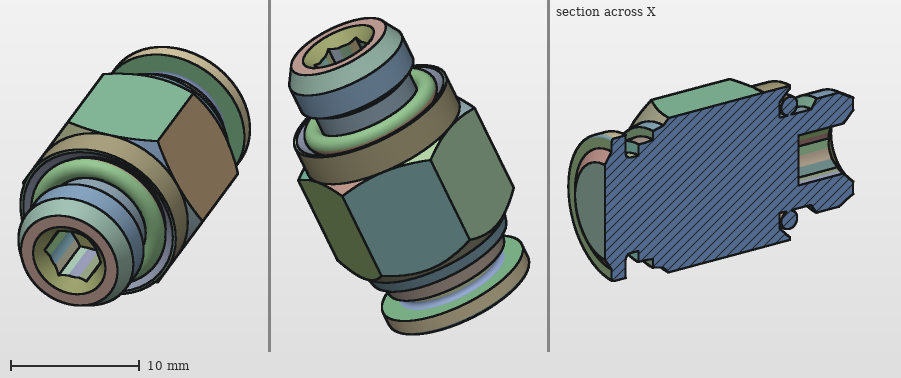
import cadquery as cq
import math

TOTAL_LENGTH = 23.6
HEX_ACROSS_FLATS = 13.0

STUD_RADIUS = 4.81
NECK_RADIUS = 4.04
STUD_LEAD_LENGTH = 1.37
STUD_REAR = 3.52
NECK_FRONT = 4.04

COLLAR_RADIUS = HEX_ACROSS_FLATS / 2
COLLAR_FRONT = 6.02
SEAT_MOUTH_RADIUS = 6.25
SEAT_DEPTH = 1.0
RING_FRONT = 5.3
RING_OUTER_RADIUS = 5.57

HEX_FRONT = 8.52
FRONT_BEVEL_LENGTH = 0.57
REAR_BEVEL_START = 16.52
REAR_BEVEL_END = 18.03
REAR_BEVEL_ANGLE = 45

REAR_TAPER_END = 19.02
REAR_TAPER_RADIUS = 5.75
SLEEVE_END = 20.4
SLEEVE_FRONT_RADIUS = 5.03
SLEEVE_REAR_RADIUS = 4.95

BUTTON_FLARE_START = 21.12
FLANGE_FRONT = 21.57
FLANGE_REAR = 22.95
FLANGE_RADIUS = 6.02
FLANGE_ROUND = 0.24
BUTTON_DOME_RADIUS = 4.95
BUTTON_END_RADIUS = 4.0

SOCKET_ACROSS_FLATS = 4.05
SOCKET_DEPTH = 5.2
PILOT_BORE_RADIUS = 2.08
COUNTERSINK_RADIUS = 3.02
COUNTERSINK_DEPTH = 1.0


def corner_radius(across_flats):
    """Distance from the axis to the corners of a hexagon."""
    return across_flats / math.sqrt(3)


def revolve_about_axis(profile):
    """Turn a closed (radius, Y) outline around the Y axis."""
    return profile.close().revolve(360, (0, 0, 0), (0, 1, 0))


def hex_prism(across_flats, start, end):
    """Hexagonal bar along Y with corners on +X and -X."""
    return (
        cq.Workplane("XZ", origin=(0, start, 0))
        .polygon(6, 2 * corner_radius(across_flats))
        .extrude(start - end)
    )


def make_stud_and_collar():
    seat_floor = COLLAR_FRONT + SEAT_DEPTH
    seat_floor_radius = SEAT_MOUTH_RADIUS - SEAT_DEPTH
    return revolve_about_axis(
        cq.Workplane("XY")
        .moveTo(0, 0)
        .lineTo(NECK_RADIUS, 0)
        .lineTo(STUD_RADIUS, STUD_LEAD_LENGTH)
        .lineTo(STUD_RADIUS, STUD_REAR)
        .lineTo(NECK_RADIUS, NECK_FRONT)
        .lineTo(NECK_RADIUS, seat_floor)
        .lineTo(seat_floor_radius, seat_floor)
        .lineTo(SEAT_MOUTH_RADIUS, COLLAR_FRONT)
        .lineTo(COLLAR_RADIUS, COLLAR_FRONT)
        .lineTo(COLLAR_RADIUS, HEX_FRONT)
        .lineTo(0, HEX_FRONT)
    )


def make_sealing_ring():
    overlap = 0.02
    section_radius = (RING_OUTER_RADIUS - NECK_RADIUS + overlap) / 2
    centre_radius = RING_OUTER_RADIUS - section_radius
    return (
        cq.Workplane("XY")
        .moveTo(centre_radius, RING_FRONT + section_radius)
        .circle(section_radius)
        .revolve(360, (0, 0, 0), (0, 1, 0))
    )


def make_hex_body():
    corner = corner_radius(HEX_ACROSS_FLATS)
    rear_bevel_length = REAR_BEVEL_END - REAR_BEVEL_START
    rear_bevel_radius = corner - rear_bevel_length * math.tan(math.radians(REAR_BEVEL_ANGLE))
    bevel_envelope = revolve_about_axis(
        cq.Workplane("XY")
        .moveTo(0, HEX_FRONT)
        .lineTo(COLLAR_RADIUS, HEX_FRONT)
        .lineTo(corner, HEX_FRONT + FRONT_BEVEL_LENGTH)
        .lineTo(corner, REAR_BEVEL_START)
        .lineTo(rear_bevel_radius, REAR_BEVEL_END)
        .lineTo(REAR_TAPER_RADIUS, REAR_TAPER_END)
        .lineTo(0, REAR_TAPER_END)
    )
    return hex_prism(HEX_ACROSS_FLATS, HEX_FRONT, REAR_TAPER_END).intersect(bevel_envelope)


def make_sleeve_and_button():
    midpoint_factor = 1 - math.sqrt(0.5)
    round_offset = FLANGE_ROUND * midpoint_factor
    flare_fillet = FLANGE_FRONT - BUTTON_FLARE_START
    flare_offset = flare_fillet * midpoint_factor
    return revolve_about_axis(
        cq.Workplane("XY")
        .moveTo(0, REAR_TAPER_END)
        .lineTo(SLEEVE_FRONT_RADIUS, REAR_TAPER_END)
        .lineTo(SLEEVE_REAR_RADIUS, SLEEVE_END)
        .lineTo(NECK_RADIUS, SLEEVE_END)
        .lineTo(NECK_RADIUS, BUTTON_FLARE_START)
        .threePointArc(
            (NECK_RADIUS + flare_offset, FLANGE_FRONT - flare_offset),
            (NECK_RADIUS + flare_fillet, FLANGE_FRONT),
        )
        .lineTo(FLANGE_RADIUS, FLANGE_FRONT)
        .lineTo(FLANGE_RADIUS, FLANGE_REAR - FLANGE_ROUND)
        .threePointArc(
            (FLANGE_RADIUS - round_offset, FLANGE_REAR - round_offset),
            (FLANGE_RADIUS - FLANGE_ROUND, FLANGE_REAR),
        )
        .lineTo(BUTTON_DOME_RADIUS, FLANGE_REAR)
        .lineTo(BUTTON_END_RADIUS, TOTAL_LENGTH)
        .lineTo(0, TOTAL_LENGTH)
    )


def make_socket():
    countersink = revolve_about_axis(
        cq.Workplane("XY")
        .moveTo(0, 0)
        .lineTo(COUNTERSINK_RADIUS, 0)
        .lineTo(SOCKET_ACROSS_FLATS / 2, COUNTERSINK_DEPTH)
        .lineTo(0, COUNTERSINK_DEPTH)
    )
    pilot_bore = cq.Workplane("XZ").circle(PILOT_BORE_RADIUS).extrude(-SOCKET_DEPTH)
    return hex_prism(SOCKET_ACROSS_FLATS, 0, SOCKET_DEPTH).union(pilot_bore).union(countersink)


result = (
    make_stud_and_collar()
    .union(make_sealing_ring())
    .union(make_hex_body())
    .union(make_sleeve_and_button())
    .cut(make_socket())
)